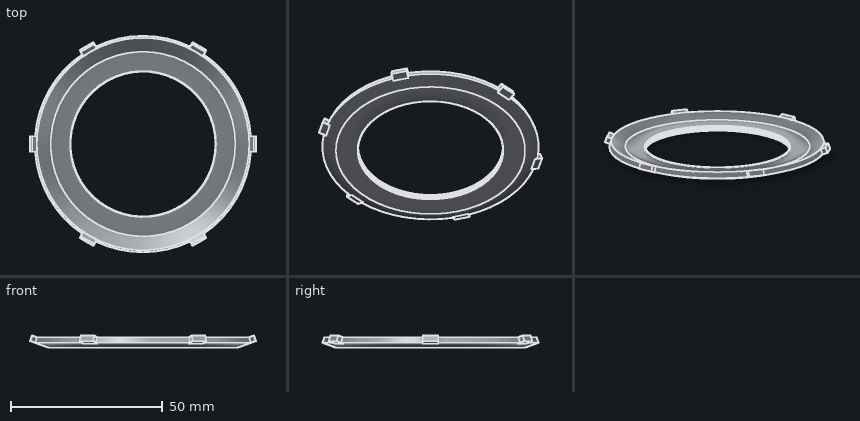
import cadquery as cq
import math

tip_radius = 37.4
hole_radius = 23.95
rim_radius = 35.85
total_height = 4.1
wall = 2.0
floor_thickness = 1.9
slope = 20.0
tab_width = 5.25
tab_length = 2.6
tab_count = 6

groove_depth = 0.2
groove_pitch = 0.56
groove_count = 3

slope_tan = math.tan(math.radians(slope))
end_run = wall * math.sin(math.radians(slope))
end_rise = wall * math.cos(math.radians(slope))
tip_height = total_height - end_rise
base_radius = tip_radius - tip_height / slope_tan
rim_height = (rim_radius - base_radius) * slope_tan
rim_top_radius = rim_radius - end_run
rim_top_height = rim_height + end_rise
floor_radius = rim_top_radius - (rim_top_height - floor_thickness) / slope_tan


def make_dish():
    """Flat ring with an upward sloping conical flange."""
    profile = [
        (base_radius, 0),
        (rim_radius, rim_height),
        (rim_top_radius, rim_top_height),
        (floor_radius, floor_thickness),
    ] + make_hole_wall()
    return cq.Workplane("XZ").polyline(profile).close().revolve(360, (0, 0, 0), (0, 1, 0))


def make_hole_wall():
    """Points down the grooved hole wall, ending in a small bevel at the base."""
    points = [(hole_radius, floor_thickness)]
    for i in range(groove_count):
        crest_height = floor_thickness - i * groove_pitch
        points.append((hole_radius + groove_depth, crest_height - groove_pitch / 2))
        points.append((hole_radius, crest_height - groove_pitch))
    bevel = floor_thickness - groove_count * groove_pitch
    points.append((hole_radius + bevel, 0))
    return points


def make_tab(angle):
    """Rectangular tab continuing the flange outwards along its slope."""
    return (
        cq.Workplane("XY")
        .box(tab_length, tab_width, wall, centered=(False, True, False))
        .translate((-tab_length, 0, 0))
        .rotate((0, 0, 0), (0, 1, 0), -slope)
        .translate((tip_radius, 0, tip_height))
        .rotate((0, 0, 0), (0, 0, 1), angle)
    )


result = make_dish()
for i in range(tab_count):
    result = result.union(make_tab(i * 360 / tab_count))